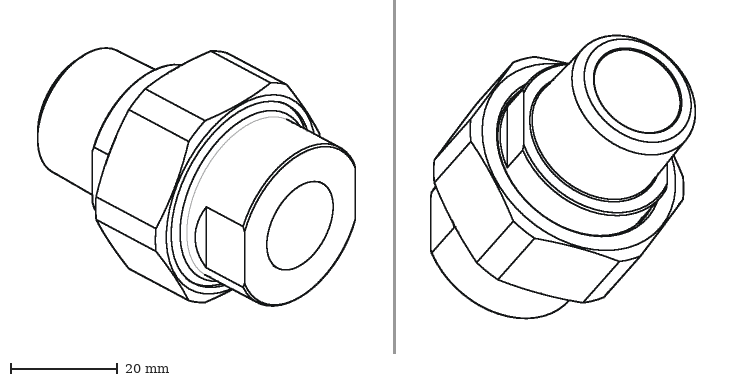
import cadquery as cq


total_length = 57.5
bore_diameter = 18.0
bore_chamfer = 0.25
body_diameter = 33.0
wrench_width = 30.0
edge_chamfer = 0.4

tip_diameter = 22.35
tip_chamfer_length = 1.65
taper_small_diameter = 25.9
taper_large_diameter = 26.85
collar_start = 17.95
relief_diameter = 27.5
relief_length = 0.35

nut_start = 24.95
nut_length = 17.2
nut_end = nut_start + nut_length
nut_across_flats = 41.0
nut_corner_diameter = 44.7
nut_face_diameter = 40.5
nut_chamfer_length = 0.8
nut_lip_length = 2.9
nut_lip_diameter = 33.5
nut_lip_chamfer = 0.45
nut_bore_diameter = 37.85

joint_position = 32.8
shoulder_end = 42.95
shoulder_fillet = 0.85
tail_flat_start = 47.55

flange_start = nut_start + nut_lip_length


def revolve_about_x(profile):
    """Turn a closed profile, drawn as (x, radius), about the X axis."""
    return profile.close().revolve(360, (0, 0, 0), (1, 0, 0))


def cylinder_x(start, end, diameter):
    """Cylinder along X between two positions."""
    return cq.Workplane("YZ", origin=(start, 0, 0)).circle(diameter / 2).extrude(end - start)


def flat_cutters(start, end, sloped_start):
    """Two cutters leaving flats at the wrench width; sloped_start tilts their first end 45 degrees."""
    flat_y = wrench_width / 2
    outer_y = flat_y + body_diameter / 2
    slope_run = outer_y - flat_y if sloped_start else 0
    cutter = (
        cq.Workplane("XY")
        .polyline([(start, flat_y), (end, flat_y), (end, outer_y), (start - slope_run, outer_y)])
        .close()
        .extrude(body_diameter / 2, both=True)
    )
    return cutter.union(cutter.mirror("XZ"))


def make_male_end():
    bore_radius = bore_diameter / 2
    body_radius = body_diameter / 2
    flange_radius = nut_bore_diameter / 2
    blank = revolve_about_x(
        cq.Workplane("XY").polyline([
            (bore_chamfer, bore_radius),
            (0, bore_radius + bore_chamfer),
            (0, tip_diameter / 2),
            (tip_chamfer_length, taper_small_diameter / 2),
            (collar_start - relief_length, taper_large_diameter / 2),
            (collar_start, relief_diameter / 2),
            (collar_start, body_radius - edge_chamfer),
            (collar_start + edge_chamfer, body_radius),
            (flange_start, body_radius),
            (flange_start, flange_radius),
            (joint_position, flange_radius),
            (joint_position, bore_radius),
        ])
    )
    return blank.cut(flat_cutters(collar_start, nut_start, sloped_start=False))


def make_union_nut():
    corner_radius = nut_corner_diameter / 2
    face_radius = nut_face_diameter / 2
    hexagon = (
        cq.Workplane("YZ", origin=(nut_start, 0, 0))
        .polygon(6, nut_across_flats, circumscribed=True)
        .extrude(nut_length)
        .rotate((0, 0, 0), (1, 0, 0), 30)
    )
    turned_envelope = revolve_about_x(
        cq.Workplane("XY").polyline([
            (nut_start, 0),
            (nut_start, face_radius),
            (nut_start + nut_chamfer_length, corner_radius),
            (nut_end - nut_chamfer_length, corner_radius),
            (nut_end, face_radius),
            (nut_end, 0),
        ])
    )
    lip_radius = nut_lip_diameter / 2
    lip_opening = revolve_about_x(
        cq.Workplane("XY").polyline([
            (nut_start, 0),
            (nut_start, lip_radius + nut_lip_chamfer),
            (nut_start + nut_lip_chamfer, lip_radius),
            (flange_start, lip_radius),
            (flange_start, 0),
        ])
    )
    main_bore = cylinder_x(flange_start, nut_end, nut_bore_diameter)
    return hexagon.intersect(turned_envelope).cut(lip_opening).cut(main_bore)


def make_tail_piece():
    bore_radius = bore_diameter / 2
    body_radius = body_diameter / 2
    shoulder_radius = nut_bore_diameter / 2
    bevel_end_radius = body_radius + shoulder_fillet
    bevel_size = shoulder_radius - bevel_end_radius
    blank = revolve_about_x(
        cq.Workplane("XY")
        .moveTo(joint_position, bore_radius)
        .lineTo(joint_position, shoulder_radius)
        .lineTo(shoulder_end - bevel_size, shoulder_radius)
        .lineTo(shoulder_end, bevel_end_radius)
        .radiusArc((shoulder_end + shoulder_fillet, body_radius), -shoulder_fillet)
        .lineTo(total_length - edge_chamfer, body_radius)
        .lineTo(total_length, body_radius - edge_chamfer)
        .lineTo(total_length, bore_radius)
    )
    return blank.cut(flat_cutters(tail_flat_start, total_length, sloped_start=True))


male_end = make_male_end()
union_nut = make_union_nut()
tail_piece = make_tail_piece()

result = cq.Compound.makeCompound([male_end.val(), union_nut.val(), tail_piece.val()])